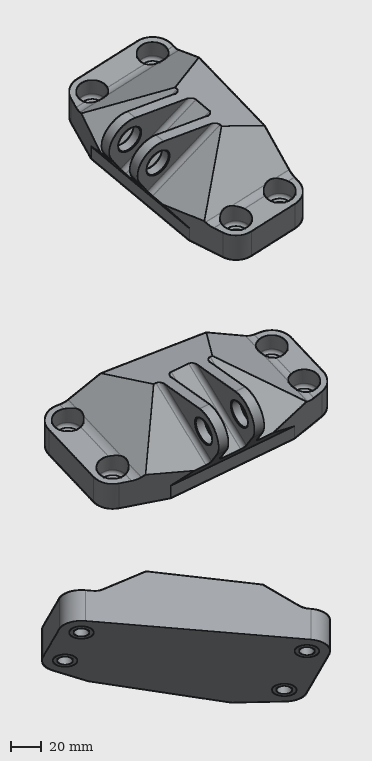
import cadquery as cq
import math


LENGTH = 178.5
FLANGE_HEIGHT = 23.4
CORNER_RADIUS = 15.2
HALF_LENGTH = LENGTH / 2
BOLT_X = HALF_LENGTH - CORNER_RADIUS
LEFT_FRONT_BOLT = (-BOLT_X, 25.7)
LEFT_BACK_BOLT = (-BOLT_X, 78.0)
RIGHT_FRONT_BOLT = (BOLT_X, 21.5)
RIGHT_BACK_BOLT = (BOLT_X, 59.3)
BOLTS = [LEFT_FRONT_BOLT, LEFT_BACK_BOLT, RIGHT_FRONT_BOLT, RIGHT_BACK_BOLT]
FRONT_LEFT_X = -45.7
FRONT_RIGHT_X = 52.0
FRONT_FACE_HEIGHT = 11.8

LUG_CENTER = (2.7, 44.6)
LUG_RADIUS = 17.9
LUG_GAP = 20.5
LUG_THICKNESS = 7.7
LUG_INNER_X = LUG_GAP / 2
LUG_OUTER_X = LUG_INNER_X + LUG_THICKNESS
PIN_HOLE_DIAMETER = 19.1
PIN_HOLE_CHAMFER = 0.5

ROOF_BACK = (89.1, 38.7)
FLANK_ANGLE = math.radians(30)
FLANK_FOOT_X = 67.3
FLANK_BLEND_RADIUS = 12.5
RAMP_ANGLE = math.radians(25)
RAMP_TOP = (52.5, 48.5)
CHANNEL_DROP = 2.5
RAMP_FILLET = 3.4

COUNTERBORE_DIAMETER = 21.0
COUNTERBORE_FLOOR = 8.0
BUSHING_DIAMETER = 16.0
BUSHING_BORE = 10.4
COUNTERBORE_FILLET = (COUNTERBORE_DIAMETER - BUSHING_DIAMETER) / 2

REACH = 142.8


def polar(center, radius, angle):
    """Point on a circle at the given angle."""
    return (center[0] + radius * math.cos(angle), center[1] + radius * math.sin(angle))


def tangent_angle(point, center, radius, side):
    """Angle on the circle where a line from point touches it; side is +1 or -1."""
    dx = point[0] - center[0]
    dy = point[1] - center[1]
    return math.atan2(dy, dx) + side * math.acos(radius / math.hypot(dx, dy))


def extend_to_x(start, end, x):
    """Point at the given X on the line through start and end."""
    return (x, start[1] + (end[1] - start[1]) * (x - start[0]) / (end[0] - start[0]))


def plan_prism():
    """Base outline seen from above, with room for the lugs at the front."""
    front_left = (FRONT_LEFT_X, 0)
    front_right = (FRONT_RIGHT_X, 0)
    left_angle = tangent_angle(front_left, LEFT_FRONT_BOLT, CORNER_RADIUS, -1)
    right_angle = tangent_angle(front_right, RIGHT_FRONT_BOLT, CORNER_RADIUS, 1)
    back_angle = math.pi / 2 + math.atan2(RIGHT_BACK_BOLT[1] - LEFT_BACK_BOLT[1], 2 * BOLT_X)
    left_touch = polar(LEFT_FRONT_BOLT, CORNER_RADIUS, left_angle)
    right_touch = polar(RIGHT_FRONT_BOLT, CORNER_RADIUS, right_angle)
    lug_front = LUG_CENTER[0] - 2 * LUG_RADIUS

    return (
        cq.Workplane("XY")
        .moveTo(-LUG_OUTER_X, lug_front)
        .lineTo(*extend_to_x(left_touch, front_left, -LUG_OUTER_X))
        .lineTo(*left_touch)
        .threePointArc(
            polar(LEFT_FRONT_BOLT, CORNER_RADIUS, (left_angle - math.pi) / 2),
            (-HALF_LENGTH, LEFT_FRONT_BOLT[1]),
        )
        .lineTo(-HALF_LENGTH, LEFT_BACK_BOLT[1])
        .threePointArc(
            polar(LEFT_BACK_BOLT, CORNER_RADIUS, (back_angle + math.pi) / 2),
            polar(LEFT_BACK_BOLT, CORNER_RADIUS, back_angle),
        )
        .lineTo(*polar(RIGHT_BACK_BOLT, CORNER_RADIUS, back_angle))
        .threePointArc(
            polar(RIGHT_BACK_BOLT, CORNER_RADIUS, back_angle / 2),
            (HALF_LENGTH, RIGHT_BACK_BOLT[1]),
        )
        .lineTo(HALF_LENGTH, RIGHT_FRONT_BOLT[1])
        .threePointArc(
            polar(RIGHT_FRONT_BOLT, CORNER_RADIUS, right_angle / 2),
            right_touch,
        )
        .lineTo(*extend_to_x(right_touch, front_right, LUG_OUTER_X))
        .lineTo(LUG_OUTER_X, lug_front)
        .close()
        .extrude(REACH)
    )


def side_prism():
    """Side profile: front face, overhang, round lug end and sloping roof."""
    front_top = (0, FRONT_FACE_HEIGHT)
    overhang_angle = tangent_angle(front_top, LUG_CENTER, LUG_RADIUS, -1)
    overhang_angle %= 2 * math.pi
    roof_angle = tangent_angle(ROOF_BACK, LUG_CENTER, LUG_RADIUS, 1)
    roof_start = polar(LUG_CENTER, LUG_RADIUS, roof_angle)
    return (
        cq.Workplane("YZ")
        .moveTo(0, 0)
        .lineTo(*front_top)
        .lineTo(*polar(LUG_CENTER, LUG_RADIUS, overhang_angle))
        .threePointArc(
            polar(LUG_CENTER, LUG_RADIUS, (overhang_angle + roof_angle) / 2),
            roof_start,
        )
        .lineTo(*extend_to_x(roof_start, ROOF_BACK, REACH))
        .lineTo(REACH, 0)
        .close()
        .extrude(REACH, both=True)
    )


def flank_prism():
    """Front profile: flat flanges blended into a sloping flank on each side."""
    tangent_length = FLANK_BLEND_RADIUS * math.tan(FLANK_ANGLE / 2)
    blend_start_x = FLANK_FOOT_X + tangent_length
    blend_center = (blend_start_x, FLANGE_HEIGHT + FLANK_BLEND_RADIUS)
    blend_middle = polar(blend_center, FLANK_BLEND_RADIUS, -math.pi / 2 - FLANK_ANGLE / 2)
    blend_end = polar(blend_center, FLANK_BLEND_RADIUS, -math.pi / 2 - FLANK_ANGLE)
    flank_top = FLANGE_HEIGHT + (FLANK_FOOT_X - LUG_OUTER_X) * math.tan(FLANK_ANGLE)
    right_half = (
        cq.Workplane("XZ")
        .moveTo(0, 0)
        .lineTo(HALF_LENGTH, 0)
        .lineTo(HALF_LENGTH, FLANGE_HEIGHT)
        .lineTo(blend_start_x, FLANGE_HEIGHT)
        .threePointArc(blend_middle, blend_end)
        .lineTo(LUG_OUTER_X, flank_top)
        .lineTo(LUG_OUTER_X, REACH)
        .lineTo(0, REACH)
        .close()
        .extrude(REACH, both=True)
    )
    return right_half.union(right_half.mirror("YZ"))


def ramp_cutter(x_min, x_max, floor):
    """Bar along the ramp slope with rounded long edges; floor is measured square to the ramp."""
    ramp_plane = cq.Plane(
        origin=(0, *RAMP_TOP),
        xDir=(1, 0, 0),
        normal=(0, -math.cos(RAMP_ANGLE), -math.sin(RAMP_ANGLE)),
    )
    bar = (
        cq.Workplane(ramp_plane)
        .moveTo(x_min, floor)
        .lineTo(x_max, floor)
        .lineTo(x_max, floor + REACH)
        .lineTo(x_min, floor + REACH)
        .close()
        .extrude(REACH, both=True)
    )
    return bar.edges(cq.selectors.ParallelDirSelector(ramp_plane.zDir)).fillet(RAMP_FILLET)


def pin_holes():
    """Cross hole through both lugs, chamfered at all four lug faces."""
    radius = PIN_HOLE_DIAMETER / 2
    cutter = (
        cq.Workplane("YZ", origin=(-LUG_OUTER_X, 0, 0))
        .center(*LUG_CENTER)
        .circle(radius)
        .extrude(2 * LUG_OUTER_X)
    )
    for lug_start in (-LUG_OUTER_X, LUG_INNER_X):
        for face_x, inward in ((lug_start, 1), (lug_start + LUG_THICKNESS, -1)):
            chamfer = cq.Solid.makeCone(
                radius + PIN_HOLE_CHAMFER,
                radius,
                PIN_HOLE_CHAMFER,
                pnt=cq.Vector(face_x, *LUG_CENTER),
                dir=cq.Vector(inward, 0, 0),
            )
            cutter = cutter.union(cq.Workplane(chamfer))
    return cutter


def bolt_hole_cutter():
    """Round-bottomed counterbore over a bushing seat, on the Z axis."""
    counterbore = (
        cq.Workplane("XY", origin=(0, 0, COUNTERBORE_FLOOR))
        .circle(COUNTERBORE_DIAMETER / 2)
        .extrude(REACH)
        .faces("<Z")
        .edges()
        .fillet(COUNTERBORE_FILLET)
    )
    seat = cq.Workplane("XY").circle(BUSHING_DIAMETER / 2).extrude(COUNTERBORE_FLOOR)
    return counterbore.union(seat)


def make_bracket():
    body = plan_prism().intersect(side_prism()).intersect(flank_prism())
    body = body.cut(ramp_cutter(-REACH, -LUG_OUTER_X, 0))
    body = body.cut(ramp_cutter(LUG_OUTER_X, REACH, 0))
    body = body.cut(ramp_cutter(-LUG_INNER_X, LUG_INNER_X, -CHANNEL_DROP))
    body = body.cut(pin_holes())
    for x, y in BOLTS:
        body = body.cut(bolt_hole_cutter().translate((x, y, 0)))
    return body


def make_bushing(x, y):
    return (
        cq.Workplane("XY", origin=(x, y, 0))
        .circle(BUSHING_DIAMETER / 2)
        .circle(BUSHING_BORE / 2)
        .extrude(COUNTERBORE_FLOOR)
    )


bracket = make_bracket()
bushings = [make_bushing(x, y) for x, y in BOLTS]
result = cq.Compound.makeCompound([bracket.val(), *[bushing.val() for bushing in bushings]])